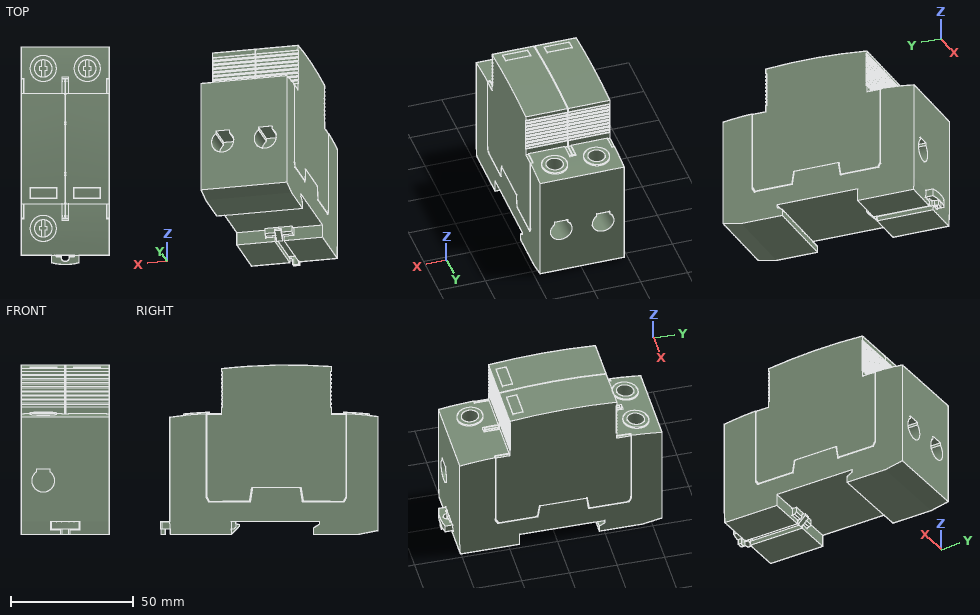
import cadquery as cq
import math

HALF_WIDTH = 18.0
BASE_BACK = 44.35
BASE_FRONT = -40.5
TERMINAL_X = 9.0

MODULE_CENTRE = 2.9
MODULE_HALF_GAP = 0.2
CORE_HALF_LENGTH = 22.4
FLANGE_HALF_LENGTH = 28.3
FLANGE_THICKNESS = 1.1
FLANGE_TOP = 49.0
MODULE_BOTTOM = 13.6
MODULE_CORNER_LENGTH = 1.0
MODULE_CORNER_HEIGHT = 1.8
MODULE_TOP = 69.1
MODULE_TOP_RADIUS = 243.9
MODULE_CREST = 7.7
CLEARANCE = 0.3
CORE_END_GAP = 0.1

TONGUE_HALF_TOP = 9.8
TONGUE_HALF_BOTTOM = 10.6
TONGUE_TOP = 19.1

GROOVE_COUNT = 9
GROOVES_TOP = 66.35
GROOVES_BOTTOM = 51.9
GROOVE_HEIGHT = 1.15
GROOVE_DEPTH = 0.35
GROOVE_PITCH = (GROOVES_TOP - GROOVES_BOTTOM - GROOVE_HEIGHT) / (GROOVE_COUNT - 1)

WINDOW_WIDTH = 10.8
WINDOW_LENGTH = 4.35
WINDOW_X = 8.9
WINDOW_Y = -15.2
WINDOW_DEPTH = 0.9
WINDOW_GAP = 0.1

SHOULDER_TOP = 49.3
SHOULDER_RADIUS = 146.35
BACK_CHAMFER_HEIGHT = 1.6
BACK_CHAMFER_LENGTH = 8.2
RAIL_TOP = 5.3
RAIL_BACK = 20.4
RAIL_FRONT = -15.4
RAIL_LIP_BACK = 18.0
RAIL_LIP_TOP = 4.3
RAIL_LIP_BOTTOM = 2.75
FRONT_FOOT_TAPER = 0.3
CENTRE_SLOT_HALF_LENGTH = 29.2
SLOT_SIDE_GAP = 0.1

BACK_TERMINAL_Y = 35.6
FRONT_TERMINAL_Y = -29.5
COLLAR_RADIUS = 5.3
COLLAR_HEIGHT = 0.6
SCREW_RADIUS = 3.55
SCREW_TOP = 39.9
SCREW_LENGTH = 3.55
SLOT_WIDTH = 1.5
SHORT_SLOT_LENGTH = 3.0
SLOT_DEPTH = 0.9
WIRE_RADIUS = 4.6
WIRE_Z = 21.9
WIRE_DEPTH = 13.3
WIRE_NOTCH_WIDTH = 5.7
WIRE_NOTCH_TOP = 26.7

CLIP_HALF_WIDTH = 5.7
CLIP_BOTTOM = 2.2
CLIP_FRONT = -44.35
CLIP_SIDE_FRONT = -43.55
CLIP_BACK = -13.6
CLIP_BACK_CHAMFER = 0.9
RIB_WIDTH = 2.6
HOOK_TIP = -12.1
HOOK_TIP_TOP = 4.1
HOOK_TIP_BOTTOM = 3.4
HOOK_ROOT_TOP = 4.4
TAB_FRONT = -44.1
NOTCH_RADIUS = 1.6
NOTCH_Y = -41.3
NOTCH_MOUTH_WIDTH = 7.3
NOTCH_MOUTH_FRONT = -41.1
NOTCH_MOUTH_BACK = -39.0
CLIP_SLOT_GAP = 0.3
RIB_SLOT_WIDTH = 3.8

TERMINALS = [
    (-TERMINAL_X, BACK_TERMINAL_Y),
    (TERMINAL_X, BACK_TERMINAL_Y),
    (-TERMINAL_X, FRONT_TERMINAL_Y),
]


def box(x_range, y_range, z_range):
    """Box between two corners, each axis given as (low, high)."""
    size = [high - low for low, high in (x_range, y_range, z_range)]
    corner = (x_range[0], y_range[0], z_range[0])
    return cq.Workplane().box(*size, centered=False).translate(corner)


def across(outline, x_low, x_high):
    """Extrude an outline drawn in the YZ plane from x_low to x_high."""
    return outline.extrude(x_high - x_low).translate((x_low, 0, 0))


def cylinder_up(x, y, bottom, radius):
    """Upright cylinder that reaches from the given bottom to the level of the module tops."""
    return cq.Workplane(origin=(x, y, bottom)).circle(radius).extrude(MODULE_TOP - bottom)


def module_foot_outline(half_length, top, clearance):
    """U-shaped outline that straddles the tongue, grown by the clearance at the bottom and beside it."""
    bottom = MODULE_BOTTOM - clearance
    notch_top = TONGUE_HALF_TOP + CLEARANCE - clearance
    notch_bottom = TONGUE_HALF_BOTTOM + CLEARANCE - clearance
    right_side = [
        (notch_top, TONGUE_TOP),
        (notch_bottom, bottom),
        (half_length - MODULE_CORNER_LENGTH, bottom),
        (half_length, bottom + MODULE_CORNER_HEIGHT),
        (half_length, top),
    ]
    left_side = [(-y, z) for y, z in reversed(right_side)]
    points = [(MODULE_CENTRE + y, z) for y, z in right_side + left_side]
    return cq.Workplane("YZ").polyline(points).close()


def under_module_crest():
    """Everything below the crowned top surface of the modules."""
    axis_z = MODULE_TOP - MODULE_TOP_RADIUS
    crest_cylinder = cq.Workplane("YZ").center(MODULE_CREST, axis_z).circle(MODULE_TOP_RADIUS)
    return across(crest_cylinder, -HALF_WIDTH, HALF_WIDTH)


def window_block(side, gap):
    """Block with a flat floor and the crowned module top, its sides drawn in by the gap."""
    half_width = WINDOW_WIDTH / 2 - gap
    half_length = WINDOW_LENGTH / 2 - gap
    front_offset = WINDOW_Y - WINDOW_LENGTH / 2 - MODULE_CREST
    crest_fall = MODULE_TOP_RADIUS - math.sqrt(MODULE_TOP_RADIUS**2 - front_offset**2)
    floor = MODULE_TOP - crest_fall - WINDOW_DEPTH
    x = side * WINDOW_X
    block = box(
        (x - half_width, x + half_width),
        (WINDOW_Y - half_length, WINDOW_Y + half_length),
        (floor, MODULE_TOP),
    )
    return block.intersect(under_module_crest())


def make_module(side):
    inner, outer = MODULE_HALF_GAP, HALF_WIDTH
    core = across(module_foot_outline(CORE_HALF_LENGTH, MODULE_TOP, 0), inner, outer)
    body = core.intersect(under_module_crest())
    for low in (inner, outer - FLANGE_THICKNESS):
        flange = module_foot_outline(FLANGE_HALF_LENGTH, FLANGE_TOP, 0)
        body = body.union(across(flange, low, low + FLANGE_THICKNESS))
    for index in range(GROOVE_COUNT):
        top = GROOVES_TOP - index * GROOVE_PITCH
        for end in (-1, 1):
            y = MODULE_CENTRE + end * CORE_HALF_LENGTH
            groove = box((inner, outer), (y - GROOVE_DEPTH, y + GROOVE_DEPTH), (top - GROOVE_HEIGHT, top))
            body = body.cut(groove)
    if side < 0:
        body = body.mirror("YZ")
    return body.cut(window_block(side, 0))


def make_window(side):
    return window_block(side, WINDOW_GAP)


def shoulder_drop(distance):
    """Fall of the rounded shoulder at a distance outward from where it starts."""
    return SHOULDER_RADIUS - math.sqrt(SHOULDER_RADIUS**2 - distance**2)


def base_outline(raise_by=0):
    """Side outline of the base, with its top surface raised by the given amount."""
    top = SHOULDER_TOP + raise_by
    back_start = MODULE_CENTRE + CORE_HALF_LENGTH
    front_start = MODULE_CENTRE - CORE_HALF_LENGTH
    back_length = BASE_BACK - back_start
    front_length = front_start - BASE_FRONT
    return (
        cq.Workplane("YZ")
        .moveTo(back_start, top)
        .threePointArc(
            (back_start + back_length / 2, top - shoulder_drop(back_length / 2)),
            (BASE_BACK, top - shoulder_drop(back_length)),
        )
        .lineTo(BASE_BACK, BACK_CHAMFER_HEIGHT)
        .lineTo(BASE_BACK - BACK_CHAMFER_LENGTH, 0)
        .lineTo(RAIL_LIP_BACK, 0)
        .lineTo(RAIL_LIP_BACK, RAIL_LIP_BOTTOM)
        .lineTo(RAIL_BACK, RAIL_LIP_TOP)
        .lineTo(RAIL_BACK, RAIL_TOP)
        .lineTo(RAIL_FRONT, RAIL_TOP)
        .lineTo(RAIL_FRONT, 0)
        .lineTo(BASE_FRONT + FRONT_FOOT_TAPER, 0)
        .lineTo(BASE_FRONT, RAIL_TOP)
        .lineTo(BASE_FRONT, top - shoulder_drop(front_length))
        .threePointArc(
            (front_start - front_length / 2, top - shoulder_drop(front_length / 2)),
            (front_start, top),
        )
        .close()
    )


def add_collars(base):
    raised = across(base_outline(COLLAR_HEIGHT), -HALF_WIDTH, HALF_WIDTH)
    for x, y in TERMINALS:
        collar = cylinder_up(x, y, SCREW_TOP, COLLAR_RADIUS)
        base = base.union(collar.intersect(raised))
    return base


def cut_module_pocket(base):
    """Opening for the module cores, recesses for their flanges and a longer slot above the tongue."""
    core_pocket = module_foot_outline(CORE_HALF_LENGTH + CORE_END_GAP, MODULE_TOP, CLEARANCE)
    base = base.cut(across(core_pocket, -HALF_WIDTH, HALF_WIDTH))
    side_inner = HALF_WIDTH - FLANGE_THICKNESS - SLOT_SIDE_GAP
    slot_half_width = MODULE_HALF_GAP + FLANGE_THICKNESS + SLOT_SIDE_GAP
    recesses = [
        (-HALF_WIDTH, -side_inner),
        (-slot_half_width, slot_half_width),
        (side_inner, HALF_WIDTH),
    ]
    for low, high in recesses:
        recess = module_foot_outline(FLANGE_HALF_LENGTH + CLEARANCE, MODULE_TOP, CLEARANCE)
        base = base.cut(across(recess, low, high))
    long_slot = box(
        (-slot_half_width, slot_half_width),
        (MODULE_CENTRE - CENTRE_SLOT_HALF_LENGTH, MODULE_CENTRE + CENTRE_SLOT_HALF_LENGTH),
        (TONGUE_TOP, MODULE_TOP),
    )
    return base.cut(long_slot)


def cut_terminals(base):
    well_bottom = SCREW_TOP - SCREW_LENGTH
    for x, y in TERMINALS:
        well = cylinder_up(x, y, well_bottom, SCREW_RADIUS)
        if y > 0:
            entry_range = (BASE_BACK - WIRE_DEPTH, BASE_BACK)
        else:
            entry_range = (BASE_FRONT, BASE_FRONT + WIRE_DEPTH)
        entry_plane = cq.Workplane("XZ", origin=(x, entry_range[1], WIRE_Z))
        entry = entry_plane.circle(WIRE_RADIUS).extrude(WIRE_DEPTH)
        notch_half = WIRE_NOTCH_WIDTH / 2
        notch = box((x - notch_half, x + notch_half), entry_range, (WIRE_Z, WIRE_NOTCH_TOP))
        base = base.cut(well).cut(entry).cut(notch)
    return base


def cut_clip_channel(base):
    length = (BASE_FRONT, RAIL_FRONT)
    half_width = CLIP_HALF_WIDTH + CLIP_SLOT_GAP
    floor = CLIP_BOTTOM - CLIP_SLOT_GAP
    plate_channel = box((-half_width, half_width), length, (floor, RAIL_TOP))
    rib_channel = box((-RIB_SLOT_WIDTH / 2, RIB_SLOT_WIDTH / 2), length, (0, floor))
    return base.cut(plate_channel).cut(rib_channel)


def make_base():
    base = across(base_outline(), -HALF_WIDTH, HALF_WIDTH)
    base = add_collars(base)
    base = cut_module_pocket(base)
    base = cut_terminals(base)
    return cut_clip_channel(base)


def make_screw(x, y):
    screw = cq.Workplane().circle(SCREW_RADIUS).extrude(SCREW_LENGTH)
    long_slot = cq.Workplane().rect(SLOT_WIDTH, 2 * SCREW_RADIUS)
    short_slot = cq.Workplane().rect(SHORT_SLOT_LENGTH, SLOT_WIDTH)
    for slot in (long_slot, short_slot):
        screw = screw.cut(slot.extrude(SLOT_DEPTH).translate((0, 0, SCREW_LENGTH - SLOT_DEPTH)))
    return screw.translate((x, y, SCREW_TOP - SCREW_LENGTH))


def clip_plate():
    """Flat plate with a bowed front edge and a bevel under its back edge."""
    plate = (
        cq.Workplane("XY", origin=(0, 0, CLIP_BOTTOM))
        .moveTo(-CLIP_HALF_WIDTH, CLIP_BACK)
        .lineTo(-CLIP_HALF_WIDTH, CLIP_SIDE_FRONT)
        .threePointArc((0, CLIP_FRONT), (CLIP_HALF_WIDTH, CLIP_SIDE_FRONT))
        .lineTo(CLIP_HALF_WIDTH, CLIP_BACK)
        .close()
        .extrude(RAIL_TOP - CLIP_BOTTOM)
    )
    return plate.edges(">Y and <Z").chamfer(CLIP_BACK_CHAMFER)


def clip_hook():
    """Wedge under the plate that points into the rail opening."""
    outline = (
        cq.Workplane("YZ")
        .moveTo(RAIL_FRONT, 0)
        .lineTo(HOOK_TIP, HOOK_TIP_BOTTOM)
        .lineTo(HOOK_TIP, HOOK_TIP_TOP)
        .lineTo(CLIP_BACK, HOOK_ROOT_TOP)
        .lineTo(RAIL_FRONT, HOOK_ROOT_TOP)
        .close()
    )
    return across(outline, -RIB_WIDTH / 2, RIB_WIDTH / 2)


def make_clip():
    tab = box((-RIB_WIDTH / 2, RIB_WIDTH / 2), (TAB_FRONT, NOTCH_Y), (0, RAIL_TOP))
    notch = cq.Workplane(origin=(0, NOTCH_Y, 0)).circle(NOTCH_RADIUS).extrude(RAIL_TOP)
    mouth_half = NOTCH_MOUTH_WIDTH / 2
    mouth = box((-mouth_half, mouth_half), (NOTCH_MOUTH_FRONT, NOTCH_MOUTH_BACK), (0, RAIL_TOP))
    return clip_plate().union(clip_hook()).union(tab).cut(notch).cut(mouth)


base = make_base()
modules = [make_module(side) for side in (-1, 1)]
windows = [make_window(side) for side in (-1, 1)]
screws = [make_screw(x, y) for x, y in TERMINALS]
clip = make_clip()

result = cq.Compound.makeCompound([body.val() for body in [base, *modules, *windows, *screws, clip]])